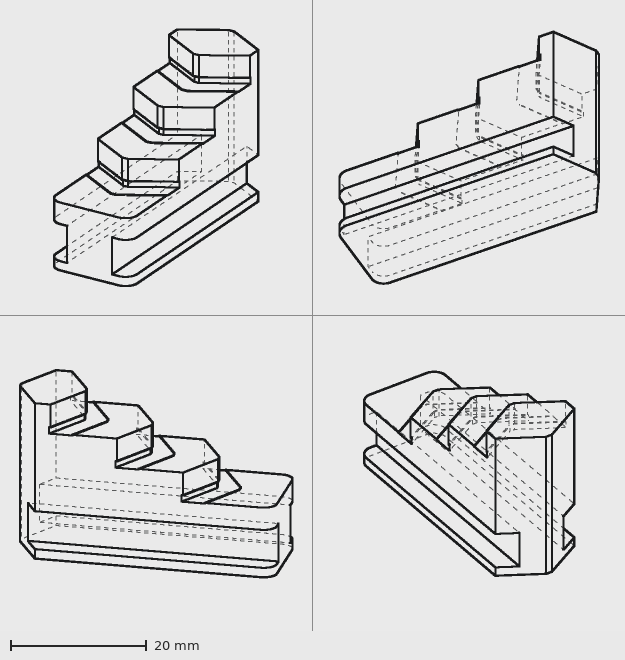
import cadquery as cq
import math

width = 14.0
length = 39.85
height = 24.5
corner_radius = 2.0

chevron_slope = math.tan(math.radians(30))
tip_width = 1.0
half_width = width / 2

step_count = 3
step_height = 4.5
step_pitch = 10.0
top_riser_y = 29.97

groove_length = 3.23
groove_drop = 0.1
groove_height = 1.0
undercut_depth = 0.17
undercut_tip_width = 0.8

web_width = 7.8
slot_bottom = 1.5
slot_height = 5.98


def shoulder_offset(flat_width):
    """Distance along Y from the flat tip of a chevron to its shoulders on the sides."""
    return (half_width - flat_width / 2) * chevron_slope


def make_body():
    shoulder_y = length - shoulder_offset(tip_width)
    outline = [
        (-half_width, 0),
        (half_width, 0),
        (half_width, shoulder_y),
        (tip_width / 2, length),
        (-tip_width / 2, length),
        (-half_width, shoulder_y),
    ]
    body = cq.Workplane("XY").polyline(outline).close().extrude(height)
    return body.edges("|Z and <Y").fillet(corner_radius)


def space_before_riser(tip_y, flat_width, bottom, top):
    """Everything in front of a chevron riser between two heights."""
    shoulder_y = tip_y + shoulder_offset(flat_width)
    outline = [
        (-half_width, 0),
        (-half_width, shoulder_y),
        (-flat_width / 2, tip_y),
        (flat_width / 2, tip_y),
        (half_width, shoulder_y),
        (half_width, 0),
    ]
    return (
        cq.Workplane("XY", origin=(0, 0, bottom))
        .polyline(outline)
        .close()
        .extrude(top - bottom)
    )


def make_groove(riser_y, tread_z):
    """Chevron band sunk slightly into the tread and reaching under the riser."""
    bottom = tread_z - groove_drop
    top = bottom + groove_height
    band = space_before_riser(riser_y + undercut_depth, undercut_tip_width, bottom, top)
    front = space_before_riser(riser_y - groove_length, tip_width, bottom, top)
    return band.cut(front)


def make_side_slot(side):
    slot_depth = (width - web_width) / 2
    slot_x = side * (web_width + slot_depth) / 2
    return (
        cq.Workplane("XY", origin=(slot_x, length / 2, slot_bottom))
        .box(slot_depth, length, slot_height, centered=(True, True, False))
    )


result = make_body()

for step in range(step_count):
    riser_y = top_riser_y - step * step_pitch
    tread_z = height - (step + 1) * step_height
    result = result.cut(space_before_riser(riser_y, tip_width, tread_z, height))
    result = result.cut(make_groove(riser_y, tread_z))

for side in (-1, 1):
    result = result.cut(make_side_slot(side))